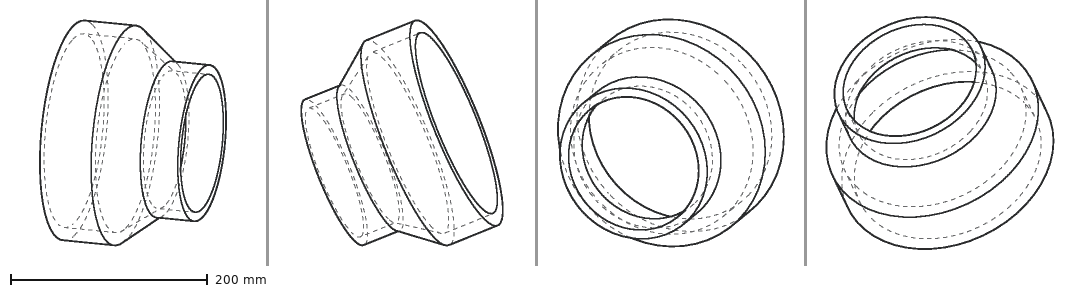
import cadquery as cq

wide_outer_diameter = 225.0
wide_bore_diameter = 198.2
narrow_outer_diameter = 160.0
narrow_bore_diameter = 141.0

wide_length = 55.0
taper_length = 42.0
narrow_length = 40.0

taper_start = wide_length
taper_end = taper_start + taper_length
total_length = taper_end + narrow_length


def reducer_body(wide_diameter, narrow_diameter):
    """Solid of revolution: wide cylinder, cone, narrow cylinder."""
    wide_radius = wide_diameter / 2
    narrow_radius = narrow_diameter / 2
    half_profile = (
        cq.Workplane("XY")
        .lineTo(0, wide_radius)
        .lineTo(taper_start, wide_radius)
        .lineTo(taper_end, narrow_radius)
        .lineTo(total_length, narrow_radius)
        .lineTo(total_length, 0)
        .close()
    )
    return half_profile.revolve(360, (0, 0, 0), (1, 0, 0))


outer_body = reducer_body(wide_outer_diameter, narrow_outer_diameter)
bore = reducer_body(wide_bore_diameter, narrow_bore_diameter)

result = outer_body.cut(bore)